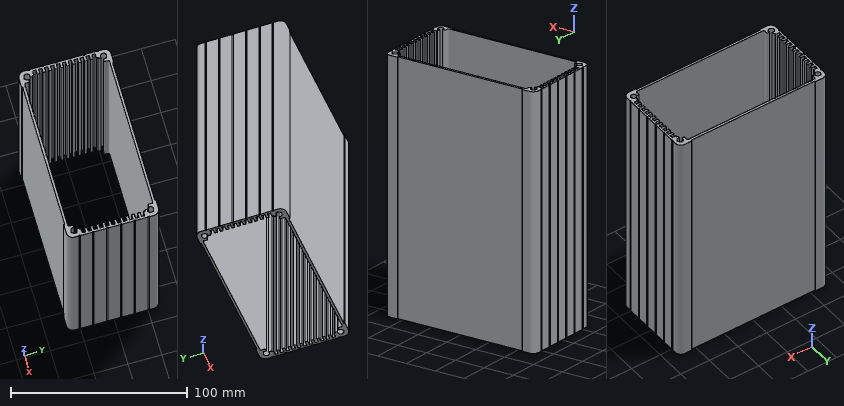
import cadquery as cq

WIDTH = 104.0
DEPTH = 54.5
HEIGHT = 160.0
CORNER_RADIUS = 3.8

SIDE_WALL = 1.5
LONG_WALL = 1.6
RECESS_DEPTH = 0.6
PAD_WIDTH = 9.0

SLOT_COUNT = 11
FIN_COUNT = SLOT_COUNT - 1
FIN_ROW_LENGTH = 38.4
FIN_PITCH = FIN_ROW_LENGTH / SLOT_COUNT
FIN_THICKNESS = 1.6
FIN_REACH = 4.0

GROOVE_COUNT = 6
GROOVE_PITCH = 8.2
GROOVE_WIDTH = 0.8
GROOVE_DEPTH = 0.3

SCREW_X = 4.0
SCREW_Y = 4.6
SCREW_RADIUS = 1.8
LONG_WALL_LIP_X = 7.4
LONG_WALL_LIP_Y = 5.3
SIDE_WALL_LIP_X = 4.6
SIDE_WALL_LIP_Y = 8.0
LIP_ROUNDING = 0.6
LIP_ROOT_RADIUS = 0.8

OUTER_X = -WIDTH / 2
OUTER_Y = -DEPTH / 2
INNER_X = OUTER_X + SIDE_WALL
INNER_Y = OUTER_Y + RECESS_DEPTH + LONG_WALL


def bar(x_min, x_max, y_min, y_max):
    """Full-height rectangular bar between the given X and Y limits."""
    return (
        cq.Workplane("XY")
        .center((x_min + x_max) / 2, (y_min + y_max) / 2)
        .rect(x_max - x_min, y_max - y_min)
        .extrude(HEIGHT)
    )


def cylinder(x, y, radius):
    """Full-height round bar centred on the given X and Y."""
    return cq.Workplane("XY").center(x, y).circle(radius).extrude(HEIGHT)


def centred_positions(count, pitch):
    """Evenly spaced positions, symmetric about zero."""
    return [(i - (count - 1) / 2) * pitch for i in range(count)]


def on_both_sides(body):
    """The body together with its mirror image on the +X side."""
    return body.union(body.mirror("YZ"))


def in_all_corners(body):
    """The body of the -X -Y corner repeated by mirroring in all four corners."""
    return on_both_sides(body.union(body.mirror("XZ")))


def outer_body():
    """Solid block with rounded corners and both long faces recessed."""
    body = cq.Workplane("XY").rect(WIDTH, DEPTH).extrude(HEIGHT)
    body = body.edges("|Z").fillet(CORNER_RADIUS)
    recess_x = OUTER_X + PAD_WIDTH
    recess = bar(recess_x, -recess_x, OUTER_Y, OUTER_Y + RECESS_DEPTH)
    return body.cut(recess).cut(recess.mirror("XZ"))


def cavity():
    """Rectangular space inside the four walls."""
    return bar(INNER_X, -INNER_X, INNER_Y, -INNER_Y)


def long_wall_lip():
    """Lip standing on the long wall, with a round fillet at its root."""
    lip_x = OUTER_X + LONG_WALL_LIP_X
    lip = bar(INNER_X, lip_x, INNER_Y, OUTER_Y + LONG_WALL_LIP_Y)
    lip = lip.edges("|Z and >X and >Y").fillet(LIP_ROUNDING)
    root_x = lip_x + LIP_ROOT_RADIUS
    root_y = INNER_Y + LIP_ROOT_RADIUS
    root = bar(lip_x, root_x, INNER_Y, root_y)
    root = root.cut(cylinder(root_x, root_y, LIP_ROOT_RADIUS))
    return lip.union(root)


def side_wall_lip():
    """Lip standing on the short wall, backed by a step that closes the last slot."""
    lip = bar(INNER_X, OUTER_X + SIDE_WALL_LIP_X, INNER_Y, OUTER_Y + SIDE_WALL_LIP_Y)
    lip = lip.edges("|Z and >X and >Y").fillet(LIP_ROUNDING)
    step_y = -(FIN_ROW_LENGTH - FIN_THICKNESS) / 2
    step = bar(INNER_X, OUTER_X + FIN_REACH, INNER_Y, step_y)
    return lip.union(step)


def screw_channel():
    """Round channel for a screw, left open towards the cavity between the lips."""
    return cylinder(OUTER_X + SCREW_X, OUTER_Y + SCREW_Y, SCREW_RADIUS)


def fins():
    """Row of fins on the -X wall."""
    fin_x = (INNER_X + OUTER_X + FIN_REACH) / 2
    return (
        cq.Workplane("XY")
        .pushPoints([(fin_x, y) for y in centred_positions(FIN_COUNT, FIN_PITCH)])
        .rect(FIN_REACH - SIDE_WALL, FIN_THICKNESS)
        .extrude(HEIGHT)
    )


def grooves():
    """Row of grooves in the -X face."""
    return (
        cq.Workplane("XY")
        .pushPoints([(OUTER_X, y) for y in centred_positions(GROOVE_COUNT, GROOVE_PITCH)])
        .rect(2 * GROOVE_DEPTH, GROOVE_WIDTH)
        .extrude(HEIGHT)
    )


result = outer_body().cut(cavity())
result = result.union(in_all_corners(long_wall_lip().union(side_wall_lip())))
result = result.union(on_both_sides(fins()))
result = result.cut(in_all_corners(screw_channel()))
result = result.cut(on_both_sides(grooves()))